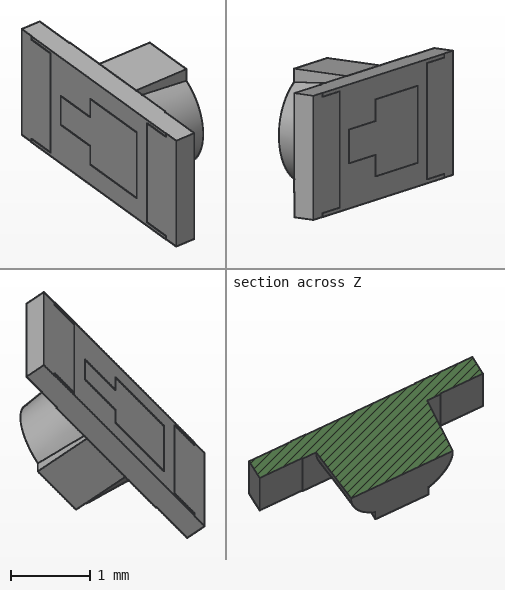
import cadquery as cq

board_length = 3.2
board_height = 1.6
board_thickness = 0.285
front_layer_thickness = 0.005
rear_layer_thickness = 0.01

front_layer_length = 2.785
pad_inner_x = 1.0
pad_window_height = 1.498

mark_left_x = -0.787
mark_step_x = -0.18
mark_right_x = 0.785
mark_stem_height = 0.435
mark_head_height = 0.992

rear_layer_length = 1.978
lens_depth = 0.8
lens_base_radius = 0.797
lens_tip_radius = 0.73
lens_block_width = 0.76
lens_block_height = 2 * lens_base_radius


def slab(x_min, x_max, height, y_front, depth):
    """Box centred on Z = 0, running from y_front towards +Y."""
    box = cq.Workplane("XY").box(x_max - x_min, depth, height, centered=(False, False, True))
    return box.translate((x_min, y_front, 0))


def centred_slab(length, height, y_front, depth):
    """Slab that is also centred on X = 0."""
    return slab(-length / 2, length / 2, height, y_front, depth)


def make_front_layer():
    y_front = -board_thickness - front_layer_thickness
    layer = centred_slab(front_layer_length, board_height, y_front, front_layer_thickness)
    layer_end_x = front_layer_length / 2
    windows = [
        (-layer_end_x, -pad_inner_x, pad_window_height),
        (pad_inner_x, layer_end_x, pad_window_height),
        (mark_left_x, mark_step_x, mark_stem_height),
        (mark_step_x, mark_right_x, mark_head_height),
    ]
    for x_min, x_max, height in windows:
        layer = layer.cut(slab(x_min, x_max, height, y_front, front_layer_thickness))
    return layer


def make_lens():
    """Tapered round lens crossed by a straight upright block."""
    cone = (
        cq.Workplane("XZ", origin=(0, rear_layer_thickness, 0))
        .circle(lens_base_radius)
        .workplane(offset=-lens_depth)
        .circle(lens_tip_radius)
        .loft(ruled=True)
    )
    block = centred_slab(lens_block_width, lens_block_height, rear_layer_thickness, lens_depth)
    return cone.union(block)


board = centred_slab(board_length, board_height, -board_thickness, board_thickness)
rear_layer = centred_slab(rear_layer_length, board_height, 0, rear_layer_thickness)

result = board.union(make_front_layer()).union(rear_layer).union(make_lens())